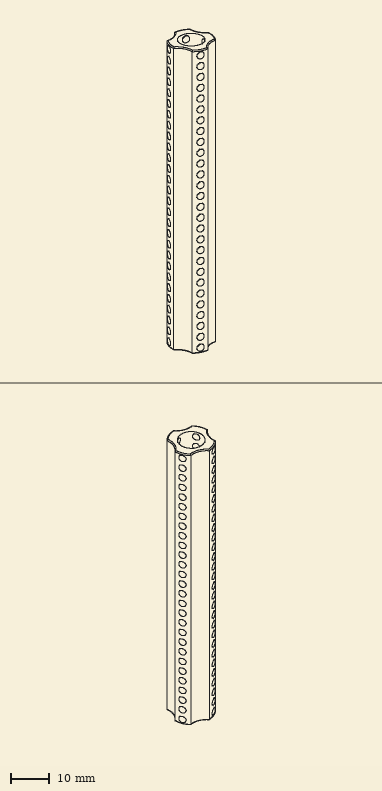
import cadquery as cq

length = 87.5
outer_diameter = 12.5
outer_radius = outer_diameter / 2
end_chamfer = 0.3

flute_count = 4
first_flute_angle = 45
flute_radius = 5.0
flute_axis_distance = 2 * flute_radius

bore_radius = 7.1 / 2
web_hole_radius = 3.0 / 2
web_thickness = 2.4

holes_per_row = 28
hole_pitch = length / holes_per_row
hole_radius = 2.0 / 2
hole_end_radius = 3.0
holes_below_web = 3
web_top = (holes_below_web + 0.5) * hole_pitch


def cylinder(radius, bottom, top):
    """Upright cylinder on the tube axis between two heights."""
    return cq.Workplane("XY", origin=(0, 0, bottom)).circle(radius).extrude(top - bottom)


def fluted_body():
    """Round bar with chamfered ends and concave flutes midway between the X and Y axes."""
    flutes = (
        cq.Workplane("XY")
        .polarArray(flute_axis_distance, first_flute_angle, 360, flute_count)
        .circle(flute_radius)
        .extrude(length)
    )
    body = cylinder(outer_radius, 0, length).cut(flutes)
    return body.faces("<Z or >Z").chamfer(end_chamfer)


def cut_bores(body):
    """Bore both ends, leaving a web with a smaller hole through it."""
    body = body.cut(cylinder(bore_radius, web_top, length))
    body = body.cut(cylinder(bore_radius, 0, web_top - web_thickness))
    return body.cut(cylinder(web_hole_radius, 0, length))


def hole_row_pair(plane):
    """Two opposite rows of side holes, interrupted by the core around the tube axis."""
    heights = [(i + 0.5) * hole_pitch for i in range(holes_per_row)]
    holes = (
        cq.Workplane(plane)
        .pushPoints([(0, height) for height in heights])
        .circle(hole_radius)
        .extrude(outer_radius, both=True)
    )
    return holes.cut(cylinder(hole_end_radius, 0, length))


result = cut_bores(fluted_body())
for hole_plane in ("XZ", "YZ"):
    result = result.cut(hole_row_pair(hole_plane))